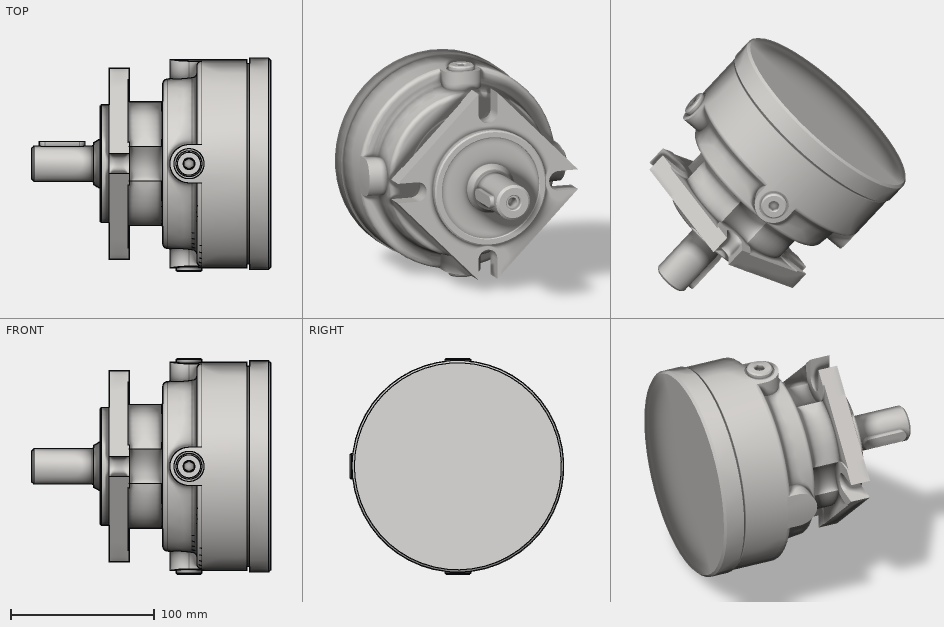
import cadquery as cq
import math


shoulder_x = 43.3
pilot_front_x = 47.8
seal_face_x = 49.8
flange_front_x = 54.1
flange_back_x = 67.1
pad_back_x = 68.3
nose_front_x = 91.5
step_x = 115.4
drum_back_x = 150.3
rear_flange_x = 152.3
rear_x = 167.0

shaft_radius = 12.5
shaft_chamfer = 1.7
shoulder_fillet = 1.0
shoulder_tip_radius = 14.7
shoulder_radius = 17.5
shoulder_cone_angle = 30
center_mouth_radius = 5.76
center_bore_radius = 5.1
center_drill_radius = 3.3
center_bore_depth = 3.0
center_drill_depth = 13.4
drill_half_angle = 60
key_start_x = 5.2
key_length = 32.0
key_width = 8.0
key_top = 15.5

pilot_radius = 41.2
pilot_chamfer = 1.0
recess_radius = 35.99
recess_chamfer = 0.5
neck_radius = 45.0
neck_fillet = 0.8
nose_front_radius = 59.3
nose_back_radius = 61.6
nose_round = 3.5
step_fillet = 3.3
drum_radius = 72.8
groove_radius = 70.1
rear_radius = 74.0
rear_chamfer = 1.7

flange_side = 104.4
bolt_circle_radius = 52.5
slot_width = 14.0
pad_radius = 15.0
slot_reach = 33.4

port_x = 109.9
boss_radius = 13.4
boss_end_x = step_x + step_fillet
boss_root = 55.1
spotface_diameter = 21.0
spotface_level = 71.8
plug_diameter = 18.0
plug_top = 75.5
plug_chamfer = 1.0
socket_flats = 6.7
socket_mouth_diameter = 8.2
socket_depth = 4.2

seam_turn = 45
quarter_turns = (0, 90, 180, 270)
plug_turns = (0, 90, 180)


def about_axis(shape, angle):
    return shape.rotate((0, 0, 0), (1, 0, 0), angle)


def revolved(profile):
    return profile.close().revolve(360, (0, 0, 0), (1, 0, 0))


def make_shaft():
    cone_length = (shoulder_radius - shoulder_tip_radius) / math.tan(math.radians(shoulder_cone_angle))
    bend = shoulder_fillet * math.sqrt(0.5)
    fillet_start_x = shoulder_x - shoulder_fillet
    fillet_top_radius = shaft_radius + shoulder_fillet
    mouth_depth = center_mouth_radius - center_bore_radius
    drill_tip_x = center_drill_depth + center_drill_radius / math.tan(math.radians(drill_half_angle))
    shaft = revolved(
        cq.Workplane("XY")
        .moveTo(0, center_mouth_radius)
        .lineTo(0, shaft_radius - shaft_chamfer)
        .lineTo(shaft_chamfer, shaft_radius)
        .lineTo(fillet_start_x, shaft_radius)
        .threePointArc((fillet_start_x + bend, fillet_top_radius - bend), (shoulder_x, fillet_top_radius))
        .lineTo(shoulder_x, shoulder_tip_radius)
        .lineTo(shoulder_x + cone_length, shoulder_radius)
        .lineTo(seal_face_x, shoulder_radius)
        .lineTo(seal_face_x, 0)
        .lineTo(drill_tip_x, 0)
        .lineTo(center_drill_depth, center_drill_radius)
        .lineTo(center_bore_depth, center_drill_radius)
        .lineTo(center_bore_depth, center_bore_radius)
        .lineTo(mouth_depth, center_bore_radius)
    )
    key_root = shaft_radius / 2
    key = (
        cq.Workplane("XZ", origin=(key_start_x + key_length / 2, key_top, 0))
        .slot2D(key_length, key_width)
        .extrude(key_top - key_root)
    )
    return shaft.union(key)


def make_housing_core():
    """Pilot, neck, nose, drum and rear flange as one turned shape."""
    nose_bend = nose_round * math.sqrt(0.5)
    step_bend = step_fillet * math.sqrt(0.5)
    neck_bend = neck_fillet * math.sqrt(0.5)
    nose_round_x = nose_front_x + nose_round
    nose_end_x = step_x - step_fillet
    inner_round_radius = nose_back_radius + step_fillet
    outer_round_radius = drum_radius - step_fillet
    drum_start_x = step_x + step_fillet
    neck_end_x = nose_front_x - neck_fillet
    core = revolved(
        cq.Workplane("XY")
        .moveTo(seal_face_x, 0)
        .lineTo(seal_face_x, recess_radius)
        .lineTo(pilot_front_x + recess_chamfer, recess_radius)
        .lineTo(pilot_front_x, recess_radius + recess_chamfer)
        .lineTo(pilot_front_x, pilot_radius - pilot_chamfer)
        .lineTo(pilot_front_x + pilot_chamfer, pilot_radius)
        .lineTo(flange_front_x, pilot_radius)
        .lineTo(flange_front_x, neck_radius)
        .lineTo(neck_end_x, neck_radius)
        .threePointArc(
            (neck_end_x + neck_bend, neck_radius + neck_fillet - neck_bend),
            (nose_front_x, neck_radius + neck_fillet),
        )
        .lineTo(nose_front_x, nose_front_radius - nose_round)
        .threePointArc(
            (nose_round_x - nose_bend, nose_front_radius - nose_round + nose_bend),
            (nose_round_x, nose_front_radius),
        )
        .lineTo(nose_end_x, nose_back_radius)
        .threePointArc((nose_end_x + step_bend, inner_round_radius - step_bend), (step_x, inner_round_radius))
        .lineTo(step_x, outer_round_radius)
        .threePointArc((drum_start_x - step_bend, outer_round_radius + step_bend), (drum_start_x, drum_radius))
        .lineTo(drum_back_x, drum_radius)
        .lineTo(drum_back_x, groove_radius)
        .lineTo(rear_flange_x, groove_radius)
        .lineTo(rear_flange_x, rear_radius)
        .lineTo(rear_x - rear_chamfer, rear_radius)
        .lineTo(rear_x, rear_radius - rear_chamfer)
        .lineTo(rear_x, 0)
    )
    return about_axis(core, seam_turn)


def bolt_prism(radius, start_x, end_x):
    """U-shaped prism along X: round at the +Z bolt position and open away from the axis."""
    return (
        cq.Workplane("YZ", origin=(start_x, 0, 0))
        .moveTo(-radius, bolt_circle_radius)
        .threePointArc((0, bolt_circle_radius - radius), (radius, bolt_circle_radius))
        .lineTo(radius, bolt_circle_radius + slot_reach)
        .lineTo(-radius, bolt_circle_radius + slot_reach)
        .close()
        .extrude(end_x - start_x)
    )


def square_plate(end_x):
    plate = (
        cq.Workplane("YZ", origin=(flange_front_x, 0, 0))
        .rect(flange_side, flange_side)
        .extrude(end_x - flange_front_x)
    )
    return about_axis(plate, 45)


def add_flange(housing):
    """Square flange with thicker pads and open bolt slots; the pads run on as scallops in the neck."""
    pad = square_plate(pad_back_x).intersect(bolt_prism(pad_radius, flange_front_x, pad_back_x))
    scallop = bolt_prism(pad_radius, pad_back_x, nose_front_x)
    slot = bolt_prism(slot_width / 2, flange_front_x, pad_back_x)
    housing = housing.union(square_plate(flange_back_x))
    for angle in quarter_turns:
        housing = housing.union(about_axis(pad, angle))
        housing = housing.cut(about_axis(scallop, angle))
        housing = housing.cut(about_axis(slot, angle))
    return housing


def make_boss():
    """Port boss on the +Z side, its top following the drum surface."""
    prism = (
        cq.Workplane("XY", origin=(0, 0, boss_root))
        .moveTo(boss_end_x, boss_radius)
        .lineTo(port_x, boss_radius)
        .threePointArc((port_x - boss_radius, 0), (port_x, -boss_radius))
        .lineTo(boss_end_x, -boss_radius)
        .close()
        .extrude(plug_top - boss_root)
    )
    drum = cq.Workplane("YZ", origin=(nose_front_x, 0, 0)).circle(drum_radius).extrude(rear_x - nose_front_x)
    return prism.intersect(drum)


def make_spotface():
    return (
        cq.Workplane("XY", origin=(port_x, 0, spotface_level))
        .circle(spotface_diameter / 2)
        .extrude(plug_top - spotface_level)
    )


def make_plug():
    """Screw plug head on the +Z side with a hexagon socket."""
    return (
        cq.Workplane("XY", origin=(port_x, 0, boss_root))
        .circle(plug_diameter / 2)
        .extrude(plug_top - boss_root)
        .faces(">Z")
        .chamfer(plug_chamfer)
    )


def make_socket():
    """Hexagon socket, its flats facing along X, with a countersunk mouth."""
    corner_diameter = socket_flats / math.cos(math.radians(30))
    hexagon = (
        cq.Workplane("XY", origin=(port_x, 0, plug_top))
        .transformed(rotate=(0, 0, 30))
        .polygon(6, corner_diameter)
        .extrude(-socket_depth)
    )
    mouth_depth = (socket_mouth_diameter - socket_flats) / 2
    mouth = cq.Solid.makeCone(
        socket_mouth_diameter / 2,
        socket_flats / 2,
        mouth_depth,
        cq.Vector(port_x, 0, plug_top),
        cq.Vector(0, 0, -1),
    )
    return hexagon.union(cq.Workplane(mouth))


def make_housing():
    housing = add_flange(make_housing_core())
    boss = make_boss()
    spotface = make_spotface()
    plug = make_plug()
    socket = make_socket()
    for angle in quarter_turns:
        housing = housing.union(about_axis(boss, angle))
    for angle in plug_turns:
        housing = housing.cut(about_axis(spotface, angle))
        housing = housing.union(about_axis(plug, angle))
        housing = housing.cut(about_axis(socket, angle))
    return housing


shaft = make_shaft()
housing = make_housing()

result = cq.Compound.makeCompound([housing.solids().val(), shaft.solids().val()])